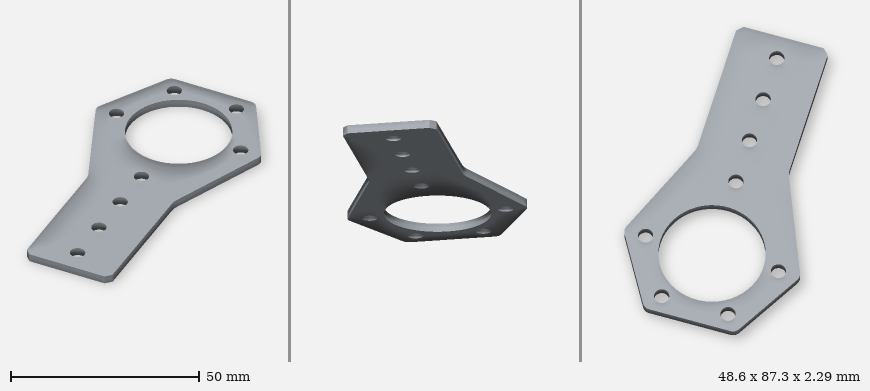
import cadquery as cq
import math

INCH = 25.4
thickness = 0.09 * INCH

opening_diameter = 1.125 * INCH
head_top_y = 0.8125 * INCH
side_corner_x = 24.55
shoulder_slope = math.radians(60)
head_corner_radius = 0.09375 * INCH

strap_half_width = 0.5 * INCH
neck_y = -1.125 * INCH
neck_radius = 0.25 * INCH
end_chamfer = 0.0625 * INCH

screw_diameter = 0.16 * INCH
bolt_circle_radius = 0.725 * INCH
bolt_angles = [0, 60, 120, 180]
strap_hole_count = 4
strap_hole_pitch = 0.5 * INCH
first_strap_hole_y = -0.875 * INCH
end_margin = 0.25 * INCH

last_strap_hole_y = first_strap_hole_y - (strap_hole_count - 1) * strap_hole_pitch
strap_end_y = last_strap_hole_y - end_margin


def round_corners(plate, low_y, high_y, radius):
    """Round the vertical edges lying between two Y positions."""
    band = cq.selectors.BoxSelector(
        (-2 * side_corner_x, low_y, 0), (2 * side_corner_x, high_y, thickness)
    )
    return plate.edges("|Z").edges(band).fillet(radius)


def make_plate():
    """Flat outline of head and strap, with rounded head, rounded neck and chamfered end."""
    top_x = side_corner_x - head_top_y / math.tan(shoulder_slope)
    right_side = [
        (strap_half_width, strap_end_y),
        (strap_half_width, neck_y),
        (side_corner_x, 0),
        (top_x, head_top_y),
    ]
    left_side = [(-x, y) for x, y in reversed(right_side)]
    plate = cq.Workplane("XY").polyline(right_side + left_side).close().extrude(thickness)

    taper_middle_y = neck_y / 2
    plate = plate.faces("<Y").edges("|Z").chamfer(end_chamfer)
    plate = round_corners(plate, neck_y + taper_middle_y, taper_middle_y, neck_radius)
    return round_corners(plate, taper_middle_y, 2 * head_top_y, head_corner_radius)


def through_holes(points, diameter):
    """Cylinders through the full thickness at the given points."""
    return cq.Workplane("XY").pushPoints(points).circle(diameter / 2).extrude(thickness)


def bolt_circle_points():
    """Screw positions around the upper half of the opening."""
    return [
        (
            bolt_circle_radius * math.cos(math.radians(angle)),
            bolt_circle_radius * math.sin(math.radians(angle)),
        )
        for angle in bolt_angles
    ]


def strap_hole_points():
    """Evenly spaced screw positions down the middle of the strap."""
    return [(0, first_strap_hole_y - i * strap_hole_pitch) for i in range(strap_hole_count)]


result = (
    make_plate()
    .cut(through_holes([(0, 0)], opening_diameter))
    .cut(through_holes(bolt_circle_points(), screw_diameter))
    .cut(through_holes(strap_hole_points(), screw_diameter))
)